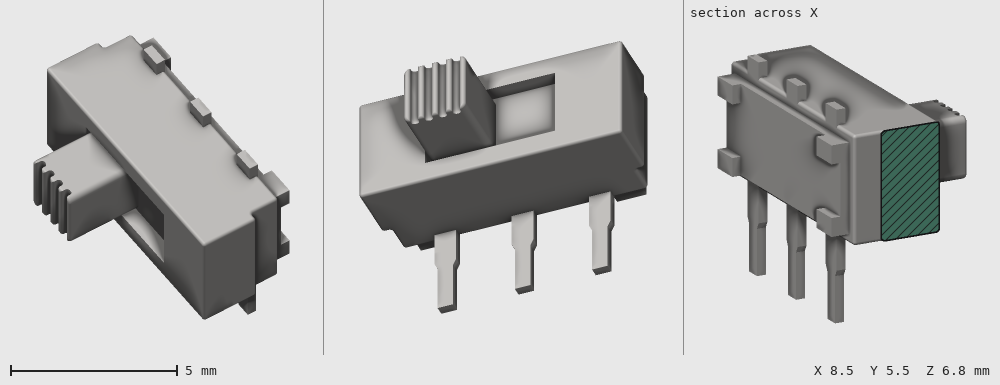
import cadquery as cq


body_length = 8.5
body_height = 3.5
body_depth = 2.9
step_depth = 1.0
step_inset = 0.3
body_fillet = 0.1

knob_width = 2.0
knob_height = 2.0
knob_reach = 2.0
knob_edge_fillet = 0.2
knob_clearance = 0.1
window_depth = 0.5
window_length = 2 * (knob_width + knob_clearance)
window_height = knob_height + 2 * knob_clearance

groove_count = 4
rib_width = 0.2
rib_tip_flat = 0.0002
rib_tip_fillet = (rib_width - rib_tip_flat) / 2
groove_width = (knob_width - (groove_count + 1) * rib_width) / groove_count
groove_depth = 0.25
groove_fillet = 0.1

terminal_count = 3
terminal_pitch = 2.5
terminal_thickness = 0.3
terminal_width = 0.7
pin_width = 0.5
terminal_stub = 0.5
taper_start = 1.1
taper_end = 1.3
pin_end = 2.8

plate_length = 7.3
plate_height = 2.9
plate_thickness = 0.3
foot_length = 0.95
foot_height = 0.6
foot_reach = 0.6

front_y = -body_depth
knob_tip_y = front_y - knob_reach
window_floor_y = front_y + window_depth
knob_centre_x = -knob_width / 2


def block(x_size, y_start, y_end, z_size, x=0, z=0):
    """Box centred on x and z, spanning y_start to y_end."""
    y_centre = (y_start + y_end) / 2
    return cq.Workplane("XY").box(x_size, abs(y_end - y_start), z_size).translate((x, y_centre, z))


def make_body():
    half_length = body_length / 2
    half_back = half_length - step_inset
    outline = [
        (-half_length, front_y),
        (half_length, front_y),
        (half_length, -step_depth),
        (half_back, -step_depth),
        (half_back, 0),
        (-half_back, 0),
        (-half_back, -step_depth),
        (-half_length, -step_depth),
    ]
    bottom_plane = cq.Workplane("XY", origin=(0, 0, -body_height / 2))
    body = bottom_plane.polyline(outline).close().extrude(body_height)
    body = body.edges("|Z").fillet(body_fillet)
    body = body.faces("<Z or >Z").edges().fillet(body_fillet)
    window = block(window_length, front_y, window_floor_y, window_height)
    return body.cut(window)


def make_knob():
    knob = block(knob_width, knob_tip_y, window_floor_y, knob_height, x=knob_centre_x)
    knob = knob.edges("|Y").fillet(knob_edge_fillet)

    groove_floor_y = knob_tip_y + groove_depth
    groove_pitch = rib_width + groove_width
    for index in range(groove_count):
        groove_x = knob_centre_x + (index - (groove_count - 1) / 2) * groove_pitch
        groove = block(groove_width, knob_tip_y, groove_floor_y, knob_height, x=groove_x)
        groove = groove.faces(">Y").edges("|Z").fillet(groove_fillet)
        knob = knob.cut(groove)
    return knob.faces("<Y").edges().fillet(rib_tip_fillet)


def make_terminal(x):
    top = body_height / 2 + terminal_stub
    bottom = -body_height / 2
    wide = terminal_width / 2
    narrow = pin_width / 2
    outline = [
        (-wide, top),
        (wide, top),
        (wide, bottom - taper_start),
        (narrow, bottom - taper_end),
        (narrow, bottom - pin_end),
        (-narrow, bottom - pin_end),
        (-narrow, bottom - taper_end),
        (-wide, bottom - taper_start),
    ]
    terminal = cq.Workplane("XZ").polyline(outline).close().extrude(terminal_thickness)
    return terminal.translate((x, 0, 0))


def make_back_plate():
    plate = block(plate_length, 0, plate_thickness, plate_height)
    foot_x = (plate_length - foot_length) / 2
    foot_z = (plate_height - foot_height) / 2
    for x in (-foot_x, foot_x):
        for z in (-foot_z, foot_z):
            plate = plate.union(block(foot_length, 0, foot_reach, foot_height, x=x, z=z))
    return plate


result = make_body().union(make_knob()).union(make_back_plate())
for terminal_index in range(terminal_count):
    terminal_x = (terminal_index - (terminal_count - 1) / 2) * terminal_pitch
    result = result.union(make_terminal(terminal_x))